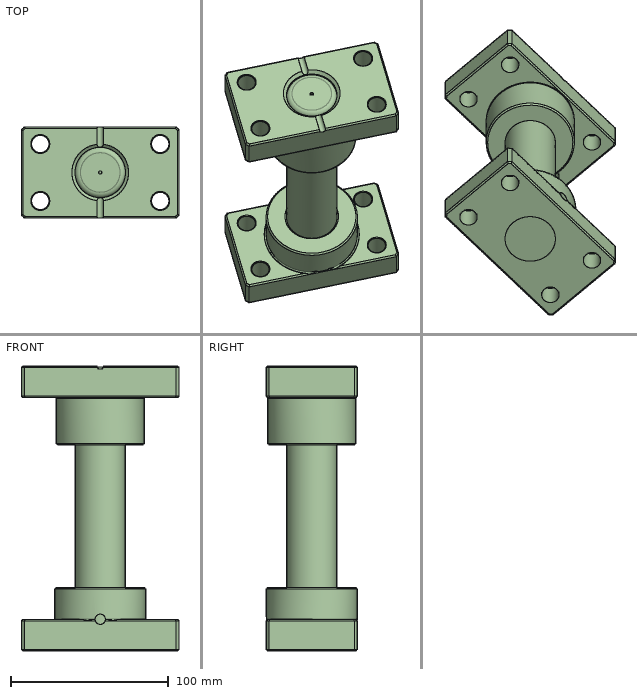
import cadquery as cq
total_height = 180.5
plate_length = 100.0
plate_width = 58.0
plate_thickness = 20.0
plate_corner = 2.0
edge_chamfer = 1.0

bolt_hole_diameter = 11.0
bolt_hole_chamfer = 0.5
bolt_spacing_x = 76.0
bolt_spacing_y = 36.1

lower_hub_diameter = plate_width
lower_hub_height = plate_thickness
upper_hub_diameter = 56.0
upper_hub_height = 30.0

foot_groove_radius = 0.63
foot_groove_offset = 0.5
foot_groove_sink = 0.2
neck_groove_size = 0.5

column_diameter = 32.0
column_end_radius = 3.5
column_recess = 0.5
center_hole_diameter = 2.0
center_hole_depth = 2.0
upper_bore_chamfer = 2.0
lower_bore_chamfer = 1.0

side_hole_diameter = 6.5
vent_diameter = 4.0

upper_plate_bottom = total_height - plate_thickness
upper_hub_bottom = upper_plate_bottom - upper_hub_height
lower_hub_top = plate_thickness + lower_hub_height


def cone_frustum(bottom_z, bottom_radius, top_z, top_radius):
    """Solid of revolution about Z whose radius changes evenly with height."""
    outline = [(0, bottom_z), (bottom_radius, bottom_z), (top_radius, top_z), (0, top_z)]
    return cq.Workplane("XZ").polyline(outline).close().revolve(360, (0, 0, 0), (0, 1, 0))


def make_plate(bottom_z):
    """Rectangular plate with chamfered edges and four chamfered bolt holes."""
    plate = (
        cq.Workplane("XY", origin=(0, 0, bottom_z))
        .rect(plate_length, plate_width)
        .extrude(plate_thickness)
        .edges("|Z")
        .chamfer(plate_corner)
        .faces("<Z or >Z")
        .chamfer(edge_chamfer)
    )
    bolt_holes = (
        plate.faces(">Z")
        .workplane(origin=(0, 0, bottom_z + plate_thickness))
        .rect(bolt_spacing_x, bolt_spacing_y, forConstruction=True)
        .vertices()
    )
    return bolt_holes.cskHole(bolt_hole_diameter, bolt_hole_diameter + 2 * bolt_hole_chamfer, 90)


def make_hub(diameter, bottom_z, height, free_end):
    """Round hub with a chamfer at its free end."""
    hub = cq.Workplane("XY", origin=(0, 0, bottom_z)).circle(diameter / 2).extrude(height)
    return hub.faces(free_end).chamfer(edge_chamfer)


def make_bore(bottom_z, top_z, top_chamfer):
    """Cutter for a column bore with a chamfered upper mouth."""
    radius = column_diameter / 2
    bore = cq.Workplane("XY", origin=(0, 0, bottom_z)).circle(radius).extrude(top_z - bottom_z)
    return bore.union(cone_frustum(top_z - top_chamfer, radius, top_z, radius + top_chamfer))


def make_foot_groove():
    """Ring of round section that relieves the corner between the lower hub and its plate."""
    ring_radius = lower_hub_diameter / 2 + foot_groove_offset
    ring_z = plate_thickness - foot_groove_sink
    section = cq.Workplane("XZ").center(ring_radius, ring_z).circle(foot_groove_radius)
    return section.revolve(360, (-ring_radius, 0, 0), (-ring_radius, 1, 0))


def make_neck_groove():
    """Square-section ring that narrows the upper hub just below its plate."""
    hub_radius = upper_hub_diameter / 2
    return (
        cq.Workplane("XY", origin=(0, 0, upper_plate_bottom))
        .circle(hub_radius + neck_groove_size)
        .circle(hub_radius - neck_groove_size)
        .extrude(-neck_groove_size)
    )


def make_lower_flange():
    """Plate with a hub on top, a foot groove and a hole drilled in from the -Y side."""
    hub = make_hub(lower_hub_diameter, plate_thickness, lower_hub_height, ">Z")
    side_hole = (
        cq.Workplane("XZ", origin=(0, 0, plate_thickness))
        .circle(side_hole_diameter / 2)
        .extrude(plate_width)
    )
    flange = make_plate(0).union(hub).cut(make_foot_groove())
    return flange.cut(make_bore(0, lower_hub_top, lower_bore_chamfer)).cut(side_hole)


def make_upper_flange():
    """Plate with a hub below, a neck groove and a half-round vent across its top face."""
    hub = make_hub(upper_hub_diameter, upper_hub_bottom, upper_hub_height, "<Z")
    vent = (
        cq.Workplane("XZ", origin=(0, 0, total_height))
        .circle(vent_diameter / 2)
        .extrude(plate_width, both=True)
    )
    flange = make_plate(upper_plate_bottom).union(hub).cut(make_neck_groove()).cut(vent)
    return flange.cut(make_bore(upper_hub_bottom, total_height, upper_bore_chamfer))


def make_column():
    """Round bar with a rounded upper end and a small center hole."""
    column = (
        cq.Workplane("XY")
        .circle(column_diameter / 2)
        .extrude(total_height - column_recess)
        .faces(">Z")
        .fillet(column_end_radius)
    )
    return column.faces(">Z").workplane().hole(center_hole_diameter, center_hole_depth)


lower_flange = make_lower_flange()
upper_flange = make_upper_flange()
column = make_column()

result = cq.Compound.makeCompound([lower_flange.val(), upper_flange.val(), column.val()])